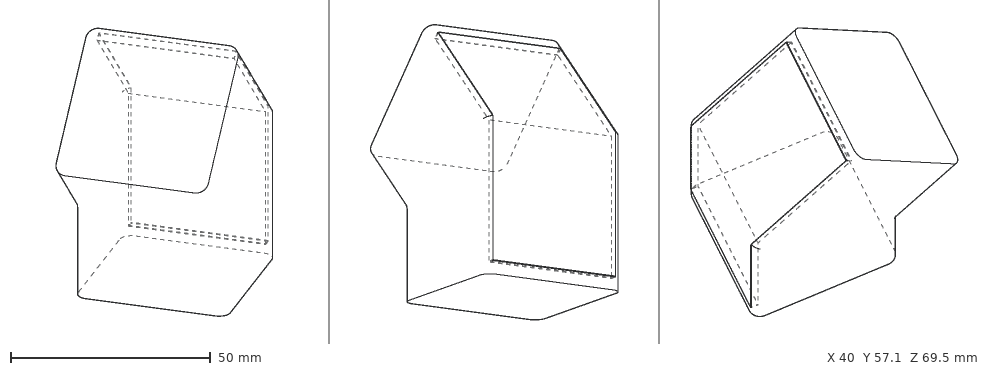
import cadquery as cq
import math

OVERALL_HEIGHT = 69.5
BAR_SIZE = 40.0
BEND_ANGLE = 45.0
EDGE_RADIUS = 3.0
INNER_BEND_RADIUS = 1.75

COVER_WIDTH = 36.0
COVER_THICKNESS = 2.0
COVER_END_MARGIN = 3.6
COVER_BEND_RADIUS = 2.0
END_GAP = 0.2

ANGLE = math.radians(BEND_ANGLE)
LEG_LENGTH = OVERALL_HEIGHT / (1 + math.cos(ANGLE))
BACK_Y = BAR_SIZE / 2


def leg_point(distance, depth):
    """(y, z) on the upper leg: distance up from the outer bend, depth below the outer face."""
    return (
        BACK_Y - distance * math.sin(ANGLE) - depth * math.cos(ANGLE),
        LEG_LENGTH + distance * math.cos(ANGLE) - depth * math.sin(ANGLE),
    )


def bend_point(depth):
    """(y, z) where the two legs meet, at a depth below the outer faces."""
    return (BACK_Y - depth, LEG_LENGTH - depth * math.tan(ANGLE / 2))


def bent_strip(width, outer_depth, inner_depth, end_margin):
    """Bent bar between two depths below the outer faces, centred on X."""
    outline = [
        (BACK_Y - outer_depth, end_margin),
        bend_point(outer_depth),
        leg_point(LEG_LENGTH - end_margin, outer_depth),
        leg_point(LEG_LENGTH - end_margin, inner_depth),
        bend_point(inner_depth),
        (BACK_Y - inner_depth, end_margin),
    ]
    return cq.Workplane("YZ").polyline(outline).close().extrude(width / 2, both=True)


def edge_at(y, z):
    """Selector for the edge along X that passes through (y, z)."""
    return cq.selectors.NearestToPointSelector((0, y, z))


def make_cover():
    cover = bent_strip(COVER_WIDTH, 0, COVER_THICKNESS, COVER_END_MARGIN)
    return cover.edges("|X").edges(edge_at(*bend_point(0))).fillet(COVER_BEND_RADIUS)


def make_recess():
    """Seat of the cover, open at the sharp outer bend and slightly longer than the cover."""
    return bent_strip(COVER_WIDTH, 0, COVER_THICKNESS, COVER_END_MARGIN - END_GAP)


def end_face():
    """Selector for the flat end of the upper leg."""
    y, z = leg_point(LEG_LENGTH, BAR_SIZE / 2)
    return cq.selectors.NearestToPointSelector((0, y, z))


def make_elbow():
    elbow = bent_strip(BAR_SIZE, 0, BAR_SIZE, 0)
    elbow = elbow.edges("|X").edges(edge_at(*bend_point(BAR_SIZE))).fillet(INNER_BEND_RADIUS)
    sides = elbow.faces("<X or >X").edges()
    ends = elbow.faces("<Z").edges().vals() + elbow.faces(end_face()).edges().vals()
    long_edges = [e for e in sides.vals() if not any(e.isSame(end) for end in ends)]
    return elbow.newObject(long_edges).fillet(EDGE_RADIUS)


cover = make_cover()
elbow = make_elbow().cut(make_recess())

result = cq.Compound.makeCompound([elbow.val(), cover.val()])